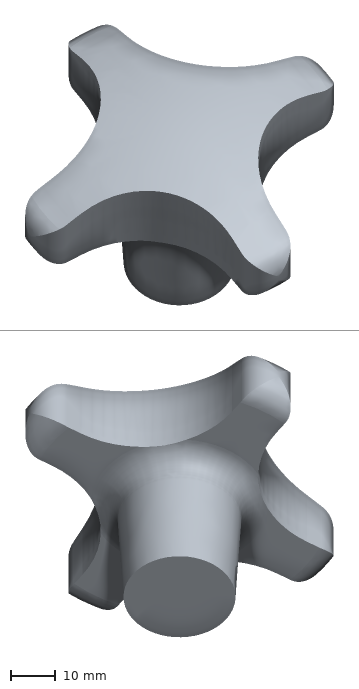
import cadquery as cq
import math

diameter = 80.0
height = 50.0
stem_length = 30.0

stem_foot_radius = 12.5
stem_draft = 3.0
stem_fillet = 6.0

dome_radius = 97.6
rim_round = 6.0

arm_half_width = 5.9
valley_radius = 24.2

rim_radius = diameter / 2


def turned_body():
    """Stem and domed head, revolved about Z."""
    stem_top_radius = stem_foot_radius + stem_length * math.tan(math.radians(stem_draft))

    dome_center_z = height - dome_radius
    round_center_r = rim_radius - rim_round
    dome_angle = math.asin(round_center_r / (dome_radius - rim_round))
    round_center_z = dome_center_z + (dome_radius - rim_round) * math.cos(dome_angle)

    def on_dome(angle):
        return (dome_radius * math.sin(angle), dome_center_z + dome_radius * math.cos(angle))

    def on_rim(angle, center_z):
        return (round_center_r + rim_round * math.sin(angle), center_z + rim_round * math.cos(angle))

    quarter = math.pi / 2
    lower_center_z = stem_length + rim_round
    profile = (
        cq.Workplane("XZ")
        .lineTo(stem_foot_radius, 0)
        .lineTo(stem_top_radius, stem_length)
        .lineTo(round_center_r, stem_length)
        .threePointArc(on_rim(1.5 * quarter, lower_center_z), (rim_radius, lower_center_z))
        .lineTo(rim_radius, round_center_z)
        .threePointArc(on_rim((dome_angle + quarter) / 2, round_center_z), on_dome(dome_angle))
        .threePointArc(on_dome(dome_angle / 2), (0, height))
        .close()
    )
    body = profile.revolve(360, (0, 0, 0), (0, 1, 0))
    search_margin = 0.8
    underside_edges = body.edges(
        cq.selectors.BoxSelector(
            (-rim_radius, -rim_radius, stem_length - search_margin),
            (rim_radius, rim_radius, stem_length + search_margin),
        )
    )
    neck_corner = underside_edges.edges("%CIRCLE").edges(cq.selectors.RadiusNthSelector(0))
    return neck_corner.fillet(stem_fillet)


def star_prism():
    """Upright prism with four straight arms, round ends and round valleys."""
    valley_center = arm_half_width + valley_radius
    valley_middle = valley_center - valley_radius * math.sqrt(0.5)
    end_start = rim_radius - arm_half_width
    quarter_turns = [i * math.pi / 2 for i in range(4)]

    def turned(x, y, angle):
        cosine = math.cos(angle)
        sine = math.sin(angle)
        return (x * cosine - y * sine, x * sine + y * cosine)

    outline = cq.Workplane("XY").moveTo(end_start, -arm_half_width)
    for angle in quarter_turns:
        end_tip = turned(rim_radius, 0, angle)
        end_finish = turned(end_start, arm_half_width, angle)
        valley_start = turned(valley_center, arm_half_width, angle)
        valley_bottom = turned(valley_middle, valley_middle, angle)
        valley_finish = turned(arm_half_width, valley_center, angle)
        outline = outline.threePointArc(end_tip, end_finish).lineTo(*valley_start)
        outline = outline.threePointArc(valley_bottom, valley_finish)
        if angle != quarter_turns[-1]:
            outline = outline.lineTo(*turned(arm_half_width, end_start, angle))
    return outline.close().extrude(height)


result = turned_body().intersect(star_prism())